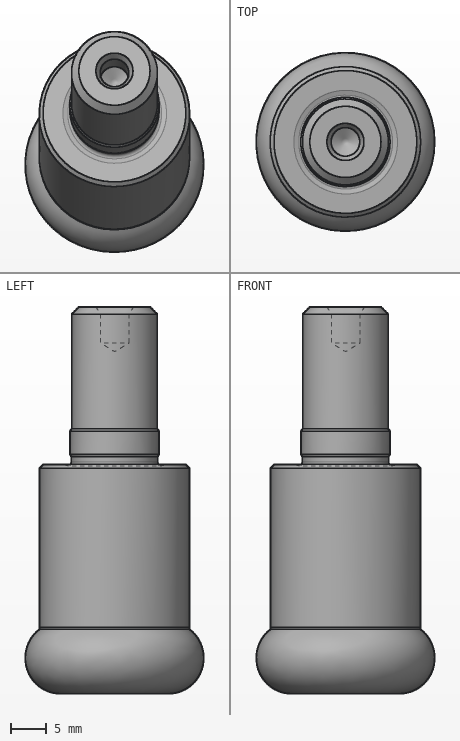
import cadquery as cq
import math

total_height = 54.0

rim_radius = 5.0
knob_radius = 12.5
neck_top = 9.3
sleeve_radius = 21.0 / 2

sleeve_top = 32.0
sleeve_chamfer = 0.55
recess_outer_radius = 7.25
recess_depth = 0.15
root_fillet = 0.5

pin_radius = 12.0 / 2
collar_radius = 12.5 / 2
root_radius = 12.1 / 2
root_top = 33.1
collar_bottom = 33.4
collar_top = 36.65
collar_chamfer_top = 37.0
pin_chamfer = 1.0

hole_radius = 4.0 / 2
hole_depth = 5.0
drill_point_angle = 118.0
countersink_radius = 2.6
countersink_angle = 60.0


def revolve_profile(profile):
    """Turn an outline of radius and height about the Z axis."""
    return profile.close().revolve(360, (0, 0, 0), (0, 1, 0))


def make_knob():
    """Flat base, half-round rim and short neck."""
    rim_center_radius = knob_radius - rim_radius
    neck_offset = sleeve_radius - rim_center_radius
    neck_bottom = rim_radius + math.sqrt(rim_radius**2 - neck_offset**2)
    profile = (
        cq.Workplane("XZ")
        .lineTo(rim_center_radius, 0)
        .threePointArc((knob_radius, rim_radius), (sleeve_radius, neck_bottom))
        .lineTo(sleeve_radius, neck_top)
        .lineTo(0, neck_top)
    )
    return revolve_profile(profile)


def make_center_hole():
    """Countersunk blind hole with a conical bottom."""
    half_countersink = math.radians(countersink_angle / 2)
    countersink_depth = (countersink_radius - hole_radius) / math.tan(half_countersink)
    tip_depth = hole_radius / math.tan(math.radians(drill_point_angle / 2))
    hole_bottom = total_height - hole_depth
    profile = (
        cq.Workplane("XZ")
        .moveTo(0, total_height)
        .lineTo(countersink_radius, total_height)
        .lineTo(hole_radius, total_height - countersink_depth)
        .lineTo(hole_radius, hole_bottom)
        .lineTo(0, hole_bottom - tip_depth)
    )
    return revolve_profile(profile)


def make_plunger():
    """Sleeve and stepped pin turned in one piece, seated on the knob neck."""
    recess_floor = sleeve_top - recess_depth
    fillet_outer_radius = root_radius + root_fillet
    fillet_top = recess_floor + root_fillet
    fillet_mid_offset = root_fillet * (1 - math.sqrt(0.5))
    fillet_middle = (root_radius + fillet_mid_offset, recess_floor + fillet_mid_offset)
    profile = (
        cq.Workplane("XZ")
        .moveTo(0, neck_top)
        .lineTo(sleeve_radius, neck_top)
        .lineTo(sleeve_radius, sleeve_top - sleeve_chamfer)
        .lineTo(sleeve_radius - sleeve_chamfer, sleeve_top)
        .lineTo(recess_outer_radius, sleeve_top)
        .lineTo(fillet_outer_radius, recess_floor)
        .threePointArc(fillet_middle, (root_radius, fillet_top))
        .lineTo(root_radius, root_top)
        .lineTo(collar_radius, collar_bottom)
        .lineTo(collar_radius, collar_top)
        .lineTo(pin_radius, collar_chamfer_top)
        .lineTo(pin_radius, total_height - pin_chamfer)
        .lineTo(pin_radius - pin_chamfer, total_height)
        .lineTo(0, total_height)
    )
    return revolve_profile(profile).cut(make_center_hole())


knob = make_knob()
plunger = make_plunger()

result = cq.Compound.makeCompound([knob.val(), plunger.val()])